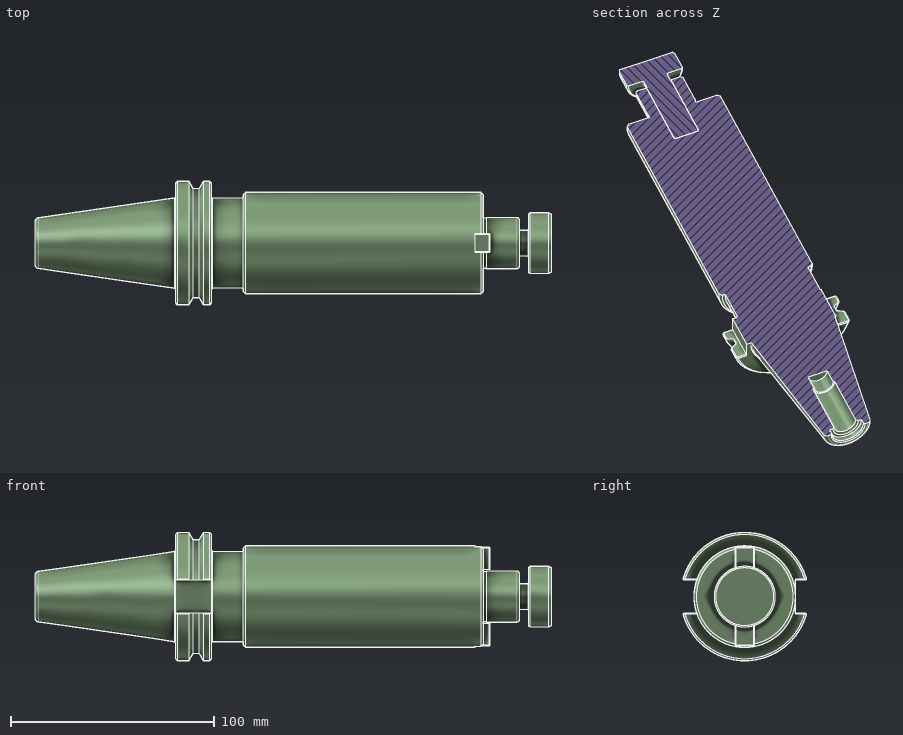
import cadquery as cq
import math

total_length = 254.2
taper_length = 68.5
flange_start = 69.2
flange_end = 87.0
body_start = 102.5
body_end = 220.7
relief_end = 222.2
spigot_end = 238.5

taper_end_diameter = 44.5
taper_ratio = 7 / 24
flange_diameter = 63.3
neck_diameter = 44.5
body_diameter = 50.0
relief_diameter = 25.0
spigot_diameter = 25.5

tip_fillet = 2.0
flange_root_fillet = 0.5
flange_chamfer = 1.0
body_chamfer = 1.3
spigot_fillet = 1.5

groove_center = 79.3
groove_floor_width = 3.0
groove_floor_diameter = 56.2
groove_wall_angle = 30.0

drive_slot_width = 16.3
drive_slot_chamfer = 0.5
front_slot_floor = 22.6
back_slot_floor = 25.0

mouth_diameter = 18.0
counterbore_diameter = 16.8
counterbore_depth = 3.0
thread_mouth_diameter = 13.5
thread_diameter = 11.5
thread_end = 30.5
pilot_diameter = 10.0
pilot_end = 38.1

key_start = 216.5
key_end = 224.0
key_sides = (1, -1)
key_width = 9.5
key_bottom = 13.2
key_top = 24.5
key_chamfer = 0.5

head_start = 242.8
head_diameter = 30.0
head_back_chamfer = 0.8
head_front_chamfer = 1.5
head_front_chamfer_depth = 0.8
shank_diameter = 12.7
shank_fillet = 0.5
shank_start = 203.5

edge_margin = 0.13


def revolved(outline):
    """Turn an (x, radius) outline around the X axis."""
    return cq.Workplane("XY").polyline(outline).close().revolve(360, (0, 0, 0), (1, 0, 0))


def mirrored(points):
    """Close a half outline with its mirror image in the second coordinate."""
    return points + [(u, -v) for u, v in reversed(points)]


def cylinder(start, end, diameter):
    """Solid cylinder along the X axis."""
    return cq.Workplane("YZ", origin=(start, 0, 0)).circle(diameter / 2).extrude(end - start)


def circle_at(x, radius):
    """Selector for the circular edge of the given radius around the axis at x."""
    reach = radius + edge_margin
    return cq.selectors.BoxSelector(
        (x - edge_margin, -reach, -reach), (x + edge_margin, reach, reach), boundingbox=True
    )


def holder_blank():
    tip_radius = (taper_end_diameter - taper_length * taper_ratio) / 2
    taper_base_radius = tip_radius + flange_start * taper_ratio / 2
    blank = revolved([
        (0, 0),
        (0, tip_radius),
        (flange_start, taper_base_radius),
        (flange_start, flange_diameter / 2 - flange_chamfer),
        (flange_start + flange_chamfer, flange_diameter / 2),
        (flange_end - flange_chamfer, flange_diameter / 2),
        (flange_end, flange_diameter / 2 - flange_chamfer),
        (flange_end, neck_diameter / 2),
        (body_start, neck_diameter / 2),
        (body_start, body_diameter / 2 - body_chamfer),
        (body_start + body_chamfer, body_diameter / 2),
        (body_end - body_chamfer, body_diameter / 2),
        (body_end, body_diameter / 2 - body_chamfer),
        (body_end, relief_diameter / 2),
        (relief_end, relief_diameter / 2),
        (relief_end, spigot_diameter / 2),
        (spigot_end, spigot_diameter / 2),
        (spigot_end, 0),
    ])
    blank = blank.edges(circle_at(0, tip_radius)).fillet(tip_fillet)
    blank = blank.edges(circle_at(spigot_end, spigot_diameter / 2)).fillet(spigot_fillet)
    flange_roots = cq.selectors.SumSelector(
        circle_at(flange_start, taper_base_radius), circle_at(flange_end, neck_diameter / 2)
    )
    return blank.edges(flange_roots).fillet(flange_root_fillet)


def gripper_groove():
    floor_radius = groove_floor_diameter / 2
    rim_radius = flange_diameter / 2
    half_floor = groove_floor_width / 2
    half_rim = half_floor + (rim_radius - floor_radius) * math.tan(math.radians(groove_wall_angle))
    return revolved([
        (groove_center - half_floor, floor_radius),
        (groove_center - half_rim, rim_radius),
        (groove_center + half_rim, rim_radius),
        (groove_center + half_floor, floor_radius),
    ])


def drive_slot(floor, side):
    """Slot along X in the flange rim, with chamfered mouths at both faces and at the rim."""
    half = drive_slot_width / 2
    wide = half + drive_slot_chamfer
    rim = math.sqrt((flange_diameter / 2) ** 2 - wide**2)
    shoulder = rim - drive_slot_chamfer
    across = [(floor, half), (shoulder, half), (rim, wide), (flange_diameter / 2, wide)]
    along = [
        (flange_start, wide),
        (flange_start + drive_slot_chamfer, half),
        (flange_end - drive_slot_chamfer, half),
        (flange_end, wide),
    ]
    across_outline = [(side * y, z) for y, z in mirrored(across)]
    slot = cq.Workplane("YZ", origin=(flange_start, 0, 0)).polyline(across_outline).close()
    slot = slot.extrude(flange_end - flange_start)
    face_mouths = cq.Workplane("XZ", origin=(0, side * floor, 0)).polyline(mirrored(along)).close()
    face_mouths = face_mouths.extrude(-side * (flange_diameter / 2 - floor))
    return slot.union(face_mouths)


def bore():
    mouth_chamfer = (mouth_diameter - counterbore_diameter) / 2
    thread_chamfer = (thread_mouth_diameter - thread_diameter) / 2
    return revolved([
        (0, 0),
        (0, mouth_diameter / 2),
        (mouth_chamfer, counterbore_diameter / 2),
        (counterbore_depth, counterbore_diameter / 2),
        (counterbore_depth, thread_mouth_diameter / 2),
        (counterbore_depth + thread_chamfer, thread_diameter / 2),
        (thread_end, thread_diameter / 2),
        (thread_end, pilot_diameter / 2),
        (pilot_end, pilot_diameter / 2),
        (pilot_end, 0),
    ])


def key_block(end, top, side):
    """Block of key width, from the back of the key to end and from the key bottom out to top."""
    length = end - key_start
    height = top - key_bottom
    return cq.Workplane("XY").box(length, key_width, height).translate(
        (key_start + length / 2, 0, side * (key_bottom + height / 2))
    )


def make_holder():
    holder = holder_blank().cut(gripper_groove())
    holder = holder.cut(drive_slot(front_slot_floor, -1)).cut(drive_slot(back_slot_floor, 1))
    holder = holder.cut(bore()).cut(cylinder(shank_start, spigot_end, shank_diameter))
    for side in key_sides:
        holder = holder.cut(key_block(body_end, body_diameter / 2, side))
    return holder


def make_key(side):
    """Drive key, chamfered on the long edges of its outer face and around its +X face except the bottom."""
    outer, inner = (">Z", "<Z") if side > 0 else ("<Z", ">Z")
    key = key_block(key_end, key_top, side)
    front_edges = key.faces(">X").edges(f"not {inner}")
    outer_edges = key.faces(outer).edges("|X")
    return front_edges.add(outer_edges).chamfer(key_chamfer)


def make_screw():
    head_radius = head_diameter / 2
    screw = revolved([
        (shank_start, 0),
        (shank_start, shank_diameter / 2),
        (head_start, shank_diameter / 2),
        (head_start, head_radius - head_back_chamfer),
        (head_start + head_back_chamfer, head_radius),
        (total_length - head_front_chamfer, head_radius),
        (total_length, head_radius - head_front_chamfer_depth),
        (total_length, 0),
    ])
    return screw.edges(circle_at(head_start, shank_diameter / 2)).fillet(shank_fillet)


holder = make_holder()
keys = [make_key(side) for side in key_sides]
screw = make_screw()

result = cq.Compound.makeCompound([holder.val(), *[key.val() for key in keys], screw.val()])